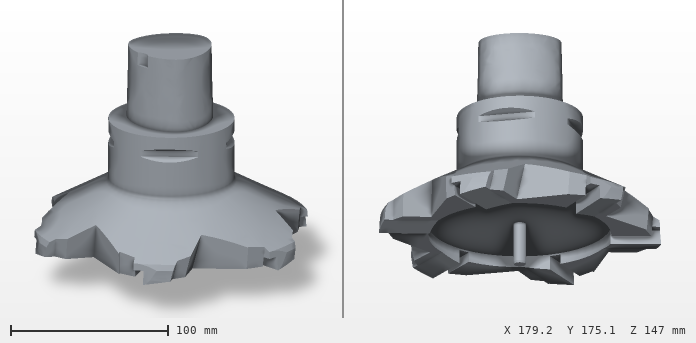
import cadquery as cq
import math

BODY_BOTTOM_Z = 2.7
FLANGE_TOP_Z = 82.0
SHANK_LENGTH = 48.0
SHANK_TOP_Z = FLANGE_TOP_Z + SHANK_LENGTH

SHANK_MEAN_RADIUS = 27.4
SHANK_LOBE = 1.55
SHANK_TAPER = 1.0
SHANK_POINTS = 48
KEYWAY_WIDTH = 9.9
KEYWAY_DEPTH = 2.2
KEYWAY_LENGTH = 8.2

FLANGE_RADIUS = 40.0
SLOT_COUNT = 4
SLOT_CENTER_Z = FLANGE_TOP_Z - 12.2
SLOT_FLOOR_RADIUS = 35.5
SLOT_FLOOR_HEIGHT = 3.9
SLOT_MOUTH_HEIGHT = 8.7

CONE_ANGLE = 30.0
CONE_START_Z = 41.5
NECK_FILLET = 2.5
RIM_TOP_RADIUS = 88.5
RIM_RADIUS = 90.0
RIM_BEVEL_BOTTOM_Z = 9.8

TEETH = (
    (0.0, 0.0),
    (59.3, 0.0),
    (117.3, 0.0),
    (176.8, 0.45),
    (237.8, 0.9),
    (299.8, 0.1),
)
CLEAR_RADIUS = 95.0
CUT_HEIGHT = 30.0

GULLET_HEEL_Y = 26.4
GULLET_HEEL = (80.6, GULLET_HEEL_Y)
GULLET_BACK = (74.6, 32.6)
GULLET_ROOT = (56.6, 31.9)
GULLET_WALL_END = (40.0, 93.8)
GULLET_LEAN = (-0.017, 0.25)

POCKET_OUTER_Y = 3.4
POCKET_LIP = (83.2, 2.1)
POCKET_ROOT = (79.7, -9.0)
POCKET_FRONT_Y = -12.0
POCKET_LEAN = (0.09, 0.02)

RECESS_RADIUS = 58.0
RECESS_TOP_Z = 10.0
RECESS_OVERLAP = 2.0

LAND_FRONT_Y = 9.4
NOTCH_TOP_Z = 9.0
LAND_RAMP = 16.0

FLAT_ANGLE = 2.2
FLAT_BOTTOM_RADIUS = 89.7
FLAT_SLOPE = 0.09
FLAT_HEIGHT = 20.0
FLAT_HALF_WIDTH = 25.0

PIN_DIAMETER = 8.01
PIN_BOTTOM_Z = -17.0
PIN_TIP_HEIGHT = 1.5
PIN_TIP_INSET = 0.3
PIN_TOP_Z = RECESS_TOP_Z + 5.0


def turned(shape, angle):
    return shape.rotate((0, 0, 0), (0, 0, 1), angle)


def shank_outline(mean_radius):
    """Points of a three-lobed curve of constant width."""
    points = []
    for i in range(SHANK_POINTS):
        t = 2 * math.pi * i / SHANK_POINTS
        phase = 3 * (t - math.pi / 2)
        support = mean_radius + SHANK_LOBE * math.cos(phase)
        slope = -3 * SHANK_LOBE * math.sin(phase)
        x = support * math.cos(t) - slope * math.sin(t)
        y = support * math.sin(t) + slope * math.cos(t)
        points.append((x, y))
    return points


def make_shank():
    shank = (
        cq.Workplane("XY", origin=(0, 0, FLANGE_TOP_Z))
        .spline(shank_outline(SHANK_MEAN_RADIUS), periodic=True).close()
        .workplane(offset=SHANK_LENGTH)
        .spline(shank_outline(SHANK_MEAN_RADIUS - SHANK_TAPER), periodic=True).close()
        .loft(ruled=True)
    )
    scoop_radius = ((KEYWAY_WIDTH / 2) ** 2 + KEYWAY_DEPTH ** 2) / (2 * KEYWAY_DEPTH)
    flat_distance = SHANK_MEAN_RADIUS - SHANK_TAPER - SHANK_LOBE
    scoop_y = -(flat_distance - KEYWAY_DEPTH + scoop_radius)
    scoop = (
        cq.Workplane("XY", origin=(0, scoop_y, SHANK_TOP_Z - KEYWAY_LENGTH))
        .circle(scoop_radius).extrude(KEYWAY_LENGTH)
    )
    return shank.cut(scoop)


def make_body():
    """Flange, filleted neck and conical body turned about the axis."""
    angle = math.radians(CONE_ANGLE)
    turn = math.pi / 2 - angle
    tangent = NECK_FILLET * math.tan(turn / 2)
    fillet_top_z = CONE_START_Z + tangent
    fillet_end = (
        FLANGE_RADIUS + tangent * math.cos(angle),
        CONE_START_Z - tangent * math.sin(angle),
    )
    fillet_middle = (
        FLANGE_RADIUS + NECK_FILLET * (1 - math.cos(turn / 2)),
        fillet_top_z - NECK_FILLET * math.sin(turn / 2),
    )
    rim_top_z = CONE_START_Z - (RIM_TOP_RADIUS - FLANGE_RADIUS) * math.tan(angle)
    return (
        cq.Workplane("XZ")
        .moveTo(0, BODY_BOTTOM_Z)
        .lineTo(0, FLANGE_TOP_Z)
        .lineTo(FLANGE_RADIUS, FLANGE_TOP_Z)
        .lineTo(FLANGE_RADIUS, fillet_top_z)
        .threePointArc(fillet_middle, fillet_end)
        .lineTo(RIM_TOP_RADIUS, rim_top_z)
        .lineTo(RIM_RADIUS, RIM_BEVEL_BOTTOM_Z)
        .lineTo(RIM_RADIUS, BODY_BOTTOM_Z)
        .close()
        .revolve(360, (0, 0, 0), (0, 1, 0))
    )


def make_gripper_slot():
    """Flared slot lying square to the X axis."""
    flare = (SLOT_MOUTH_HEIGHT - SLOT_FLOOR_HEIGHT) / 2 / (FLANGE_RADIUS - SLOT_FLOOR_RADIUS)
    overshoot = 1.0
    mouth_radius = FLANGE_RADIUS + overshoot
    half_floor = SLOT_FLOOR_HEIGHT / 2
    half_mouth = SLOT_MOUTH_HEIGHT / 2 + overshoot * flare
    return (
        cq.Workplane("XZ")
        .polyline([
            (SLOT_FLOOR_RADIUS, SLOT_CENTER_Z - half_floor),
            (mouth_radius, SLOT_CENTER_Z - half_mouth),
            (mouth_radius, SLOT_CENTER_Z + half_mouth),
            (SLOT_FLOOR_RADIUS, SLOT_CENTER_Z + half_floor),
        ]).close()
        .extrude(FLANGE_RADIUS, both=True)
    )


def make_leaning_cut(points, lean):
    """Prism over an outline on the body bottom, leaning as it rises."""
    outline = cq.Workplane("XY", origin=(0, 0, BODY_BOTTOM_Z)).polyline(points).close().val()
    lean_x, lean_y = lean
    rise = cq.Vector(lean_x * CUT_HEIGHT, lean_y * CUT_HEIGHT, CUT_HEIGHT)
    return cq.Workplane(cq.Solid.extrudeLinear(outline, [], rise))


def make_gullet(extra_depth):
    """Gap that separates a tooth from the next one."""
    gullet = make_leaning_cut([
        (CLEAR_RADIUS, GULLET_HEEL_Y),
        GULLET_HEEL,
        GULLET_BACK,
        GULLET_ROOT,
        GULLET_WALL_END,
        (CLEAR_RADIUS, CLEAR_RADIUS),
    ], GULLET_LEAN)
    angle = math.atan2(GULLET_ROOT[1], GULLET_ROOT[0])
    inward = (-extra_depth * math.cos(angle), -extra_depth * math.sin(angle), 0)
    return gullet.translate(inward)


def make_chip_pocket():
    return make_leaning_cut([
        (CLEAR_RADIUS, POCKET_OUTER_Y),
        POCKET_LIP,
        POCKET_ROOT,
        (CLEAR_RADIUS, POCKET_FRONT_Y),
    ], POCKET_LEAN)


def make_lip_notch():
    """Space under the tooth lip, in front of the cutting land."""
    notch_front_y = POCKET_LIP[1]
    notch_back_x = RECESS_RADIUS - RECESS_OVERLAP
    length = CLEAR_RADIUS - notch_back_x
    width = LAND_FRONT_Y - notch_front_y
    return (
        cq.Workplane("XY")
        .box(length, width, NOTCH_TOP_Z, centered=False)
        .translate((notch_back_x, notch_front_y, 0))
    )


def make_rim_flat():
    """Space outside the leaning flat beside a cutting edge."""
    flat_top_radius = FLAT_BOTTOM_RADIUS - FLAT_SLOPE * FLAT_HEIGHT
    space = (
        cq.Workplane("XZ")
        .polyline([
            (FLAT_BOTTOM_RADIUS, 0),
            (CLEAR_RADIUS, 0),
            (CLEAR_RADIUS, FLAT_HEIGHT),
            (flat_top_radius, FLAT_HEIGHT),
        ]).close()
        .extrude(FLAT_HALF_WIDTH, both=True)
    )
    return turned(space, FLAT_ANGLE)


def make_cutting_land():
    """Ring segment below a tooth, rising from its front edge to the body."""
    wedge = (
        cq.Workplane("YZ")
        .polyline([
            (LAND_FRONT_Y, 0),
            (LAND_FRONT_Y + LAND_RAMP, BODY_BOTTOM_Z),
            (LAND_FRONT_Y, BODY_BOTTOM_Z),
        ]).close()
        .extrude(CLEAR_RADIUS)
    )
    ring = (
        cq.Workplane("XY")
        .circle(RIM_RADIUS).circle(RECESS_RADIUS - RECESS_OVERLAP).extrude(BODY_BOTTOM_Z)
    )
    return wedge.intersect(ring)


def make_recess():
    return cq.Workplane("XY").circle(RECESS_RADIUS).extrude(RECESS_TOP_Z)


def make_pin():
    radius = PIN_DIAMETER / 2
    return (
        cq.Workplane("XZ")
        .polyline([
            (0, PIN_BOTTOM_Z),
            (radius - PIN_TIP_INSET, PIN_BOTTOM_Z),
            (radius, PIN_BOTTOM_Z + PIN_TIP_HEIGHT),
            (radius, PIN_TOP_Z),
            (0, PIN_TOP_Z),
        ]).close()
        .revolve(360, (0, 0, 0), (0, 1, 0))
    )


body = make_body()
gripper_slot = make_gripper_slot()
for i in range(SLOT_COUNT):
    body = body.cut(turned(gripper_slot, (i + 0.5) * 360 / SLOT_COUNT))

cutting_land = make_cutting_land()
tooth_cutters = (make_chip_pocket(), make_lip_notch(), make_rim_flat())
for tooth_angle, extra_depth in TEETH:
    body = body.union(turned(cutting_land, tooth_angle))
    for cutter in (make_gullet(extra_depth), *tooth_cutters):
        body = body.cut(turned(cutter, tooth_angle))

result = body.cut(make_recess()).union(make_pin()).union(make_shank())